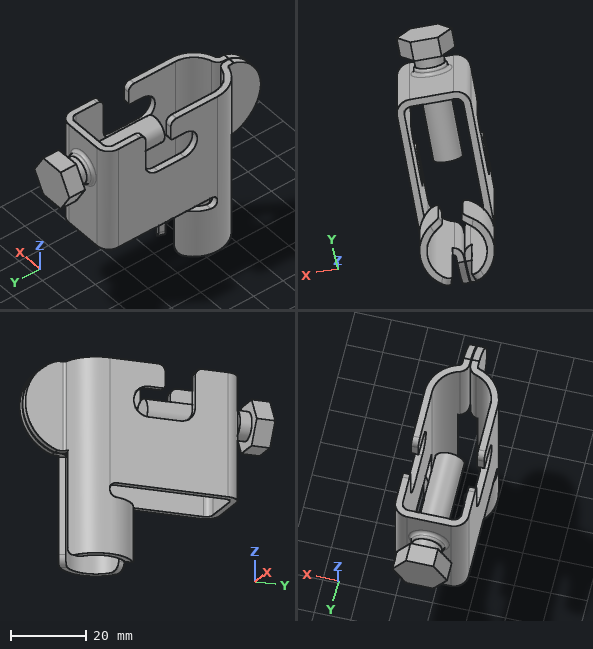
import cadquery as cq
import math


thickness = 2.0
outer_radius = 10.0
inner_radius = outer_radius - thickness
height = 55.0
back_y = 37.85
back_corner_radius = 2 * thickness
plate_bottom_z = 20.1
notch_corner_radius = 2.0

leaf_gap = 0.3
leaf_inner_x = leaf_gap / 2
leaf_outer_x = leaf_inner_x + thickness
tab_bend_radius = 0.8
tab_bottom_z = 29.9
tab_arc_start_y = -11.9
tab_tip_y = -21.05

lip_half_angle = 19.2
lip_corner_radius = 2.8
relief_radius = 1.98
relief_z = plate_bottom_z - relief_radius
lip_top_z = relief_z - relief_radius

mouth_back_y = 24.45
mouth_front_y = 15.9
notch_front_y = 6.9
notch_radius = 4.3
hook_corner_radius = 0.7

bolt_z = 43.95
bolt_radius = 4.0
bolt_tip_y = 13.2
head_start_y = 43.05
head_end_y = 48.4
head_across_flats = 13.0
notch_bottom_z = bolt_z - notch_radius
notch_top_z = bolt_z + notch_radius
collar_radius = 4.6
collar_edge_radius = 1.0
collar_root_radius = 1.0

margin = 0.7


def sheet_profile_half():
    """Closed +X half of the bent sheet, seen along Z."""
    bend_x = leaf_outer_x + tab_bend_radius
    bend_distance = outer_radius + tab_bend_radius
    bend_y = -math.sqrt(bend_distance**2 - bend_x**2)
    bend_angle = math.atan2(bend_y, bend_x)
    wall_mid_angle = bend_angle / 2
    bend_mid_angle = (bend_angle + 2 * math.pi) / 2
    inner_bend_radius = tab_bend_radius + thickness
    inner_corner_radius = back_corner_radius - thickness
    corner_x = outer_radius - back_corner_radius
    corner_y = back_y - back_corner_radius

    def on_socket(radius, angle):
        return (radius * math.cos(angle), radius * math.sin(angle))

    def on_bend(radius):
        return (
            bend_x + radius * math.cos(bend_mid_angle),
            bend_y + radius * math.sin(bend_mid_angle),
        )

    def on_corner(radius):
        offset = radius * math.sqrt(0.5)
        return (corner_x + offset, corner_y + offset)

    return (
        cq.Workplane("XY")
        .moveTo(0, back_y)
        .lineTo(corner_x, back_y)
        .threePointArc(on_corner(back_corner_radius), (outer_radius, corner_y))
        .lineTo(outer_radius, 0)
        .threePointArc(on_socket(outer_radius, wall_mid_angle), on_socket(outer_radius, bend_angle))
        .threePointArc(on_bend(tab_bend_radius), (leaf_outer_x, bend_y))
        .lineTo(leaf_outer_x, tab_tip_y)
        .lineTo(leaf_inner_x, tab_tip_y)
        .lineTo(leaf_inner_x, bend_y)
        .threePointArc(on_bend(inner_bend_radius), on_socket(inner_radius, bend_angle))
        .threePointArc(on_socket(inner_radius, wall_mid_angle), (inner_radius, 0))
        .lineTo(inner_radius, corner_y)
        .threePointArc(on_corner(inner_corner_radius), (corner_x, back_y - thickness))
        .lineTo(0, back_y - thickness)
        .close()
    )


def side_cut(outline):
    """Cutter through the full width from an outline in the YZ plane."""
    return outline.extrude(outer_radius + margin, both=True)


def opening_wedge(direction, depth):
    """Radial gap in the socket, facing +Y (direction 1) or -Y (direction -1)."""
    reach = abs(tab_tip_y) + margin
    half_width = reach * math.tan(math.radians(lip_half_angle))
    return (
        cq.Workplane("XY")
        .polyline([(0, 0), (half_width, direction * reach), (-half_width, direction * reach)])
        .close()
        .extrude(depth)
    )


def formed_sheet():
    """Bent sheet with its tab, and the front half of the socket down to Z = 0."""
    half = sheet_profile_half().extrude(height)
    sheet = half.union(half.mirror("YZ"))
    below_plates = (
        cq.Workplane("XY")
        .box(2 * (outer_radius + margin), back_y + margin, relief_z, centered=(True, False, False))
    )
    sheet = sheet.cut(opening_wedge(-1, tab_bottom_z)).cut(tab_rounding())
    return sheet.cut(below_plates).cut(relief_slot())


def tab_rounding():
    """Material in front of the curved edge of the tab."""
    middle_z = (tab_bottom_z + height) / 2
    far_y = tab_tip_y - margin
    return side_cut(
        cq.Workplane("YZ")
        .moveTo(tab_arc_start_y, height)
        .threePointArc((tab_tip_y, middle_z), (tab_arc_start_y, tab_bottom_z))
        .lineTo(far_y, tab_bottom_z)
        .lineTo(far_y, height)
        .close()
    )


def socket_lip(side):
    """Curved lip closing the back of the socket at +X (side 1) or -X (side -1)."""
    end_angle = math.radians(90 - lip_half_angle)
    middle_angle = end_angle / 2

    def at(radius, angle):
        return (side * radius * math.cos(angle), radius * math.sin(angle))

    lip = (
        cq.Workplane("XY")
        .moveTo(side * inner_radius, 0)
        .lineTo(side * outer_radius, 0)
        .threePointArc(at(outer_radius, middle_angle), at(outer_radius, end_angle))
        .lineTo(*at(inner_radius, end_angle))
        .threePointArc(at(inner_radius, middle_angle), (side * inner_radius, 0))
        .close()
        .extrude(relief_z)
    )
    return lip.cut(relief_slot())


def relief_slot():
    """Round-ended slot between the side plates and the socket lips."""
    return side_cut(
        cq.Workplane("YZ")
        .moveTo(relief_radius, lip_top_z)
        .lineTo(back_y + margin, lip_top_z)
        .lineTo(back_y + margin, plate_bottom_z)
        .lineTo(relief_radius, plate_bottom_z)
        .threePointArc((0, relief_z), (relief_radius, lip_top_z))
        .close()
    )


def hooked_notch():
    notch = side_cut(
        cq.Workplane("YZ")
        .moveTo(mouth_back_y, height)
        .lineTo(mouth_back_y, notch_bottom_z)
        .lineTo(notch_front_y + notch_radius, notch_bottom_z)
        .threePointArc((notch_front_y, bolt_z), (notch_front_y + notch_radius, notch_top_z))
        .lineTo(mouth_front_y, notch_top_z)
        .lineTo(mouth_front_y, height)
        .close()
    )
    back_corner = cq.selectors.NearestToPointSelector((0, mouth_back_y, notch_bottom_z))
    hook_corner = cq.selectors.NearestToPointSelector((0, mouth_front_y, notch_top_z))
    notch = notch.edges(back_corner).fillet(notch_radius)
    return notch.edges(hook_corner).fillet(hook_corner_radius)


def corner_edges(body, places):
    """Sheet edges whose middles are nearest the given points."""
    edges = cq.Workplane(body.val())
    picked = [body.edges(cq.selectors.NearestToPointSelector(place)).val() for place in places]
    return edges.newObject(picked)


def round_lip_corners(body):
    middle_radius = (outer_radius + inner_radius) / 2
    x = middle_radius * math.sin(math.radians(lip_half_angle))
    y = middle_radius * math.cos(math.radians(lip_half_angle))
    places = []
    for side in (-1, 1):
        places += [(side * x, y, 0), (side * x, y, lip_top_z), (side * x, -y, 0)]
    return corner_edges(body, places).fillet(lip_corner_radius)


def round_mouth_corners(body):
    middle_x = (outer_radius + inner_radius) / 2
    places = [
        (side * middle_x, y, height) for side in (-1, 1) for y in (mouth_back_y, mouth_front_y)
    ]
    return corner_edges(body, places).fillet(notch_corner_radius)


def collar():
    """Drawn collar on the back plate, with a rounded rim and a flared root."""
    root_y = back_y + collar_root_radius
    collar_end_y = root_y + collar_edge_radius
    diagonal = 1 - math.sqrt(0.5)
    return (
        cq.Workplane("XY")
        .moveTo(0, back_y - thickness / 2)
        .lineTo(collar_radius + collar_root_radius, back_y - thickness / 2)
        .lineTo(collar_radius + collar_root_radius, back_y)
        .threePointArc(
            (collar_radius + collar_root_radius * diagonal, back_y + collar_root_radius * diagonal),
            (collar_radius, root_y),
        )
        .threePointArc(
            (collar_radius - collar_edge_radius * diagonal, collar_end_y - collar_edge_radius * diagonal),
            (collar_radius - collar_edge_radius, collar_end_y),
        )
        .lineTo(0, collar_end_y)
        .close()
        .revolve(360, (0, 0, 0), (0, 1, 0))
        .translate((0, 0, bolt_z))
    )


def bolt_shank():
    return (
        cq.Workplane("XZ", origin=(0, bolt_tip_y, bolt_z))
        .circle(bolt_radius)
        .extrude(bolt_tip_y - head_start_y)
    )


def make_clamp():
    body = formed_sheet().cut(hooked_notch())
    for side in (-1, 1):
        body = body.union(socket_lip(side))
    body = round_mouth_corners(round_lip_corners(body))
    return body.union(collar()).cut(bolt_shank())


def make_bolt():
    across_corners = head_across_flats / math.cos(math.pi / 6)
    head = (
        cq.Workplane("XZ", origin=(0, head_start_y, bolt_z))
        .polygon(6, across_corners)
        .extrude(head_start_y - head_end_y)
    )
    return bolt_shank().union(head)


clamp = make_clamp()
bolt = make_bolt()
result = cq.Compound.makeCompound([clamp.val(), bolt.val()])